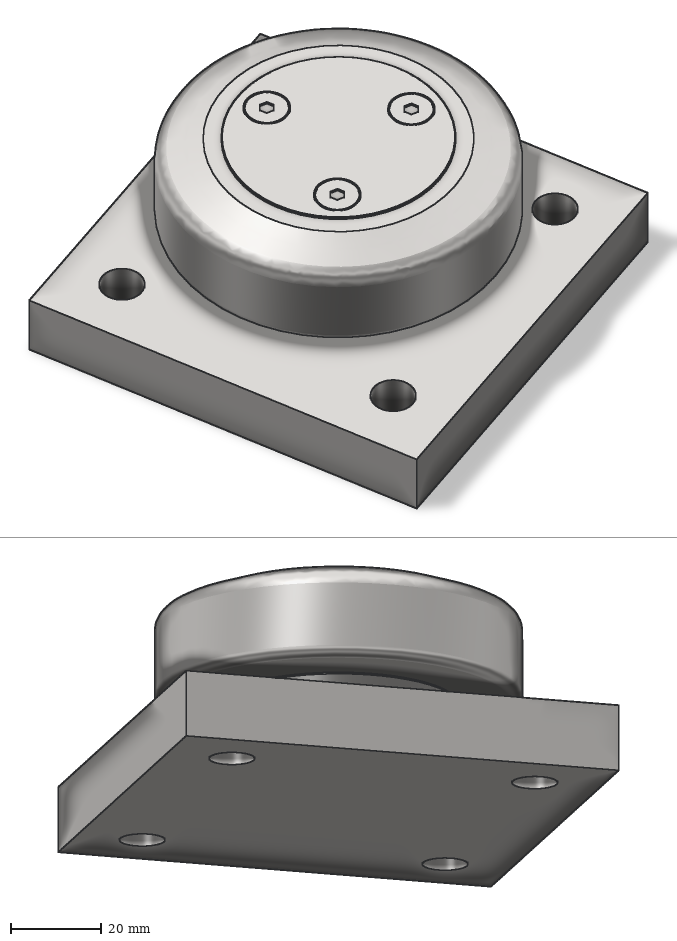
import cadquery as cq
import math

plate_side = 100.0
plate_thickness = 15.0
mount_hole_diameter = 10.1
mount_hole_spacing = 70.0

neck_diameter = 54.0
neck_chamfer = 0.5

cap_radius = 40.8
cap_bottom = 24.6
cap_top = 48.0
cap_flat_radius = 30.0
shoulder_angle = math.radians(20)
shoulder_fillet = 4.0
cap_bottom_fillet = 2.3

total_height = 48.5
disc_diameter = 52.0
disc_chamfer = 0.2

screw_count = 3
screw_circle_radius = 18.5
screw_recess_diameter = 10.4
screw_head_diameter = 9.8
screw_gap_depth = 0.5
socket_across_flats = 3.1
socket_depth = 0.5


def make_plate():
    plate = cq.Workplane("XY").box(
        plate_side, plate_side, plate_thickness, centered=(True, True, False)
    )
    return (
        plate.faces(">Z").workplane()
        .rect(mount_hole_spacing, mount_hole_spacing, forConstruction=True)
        .vertices()
        .hole(mount_hole_diameter)
    )


def make_neck():
    neck = cq.Workplane("XY").workplane(offset=plate_thickness)
    neck = neck.circle(neck_diameter / 2).extrude(cap_bottom - plate_thickness)
    return neck.edges("%CIRCLE").chamfer(neck_chamfer)


def make_cap():
    shoulder_drop = (cap_radius - cap_flat_radius) * math.tan(shoulder_angle)
    shoulder_bottom = cap_top - shoulder_drop
    cap = (
        cq.Workplane("XZ")
        .moveTo(0, cap_bottom)
        .lineTo(cap_radius, cap_bottom)
        .lineTo(cap_radius, shoulder_bottom)
        .lineTo(cap_flat_radius, cap_top)
        .lineTo(0, cap_top)
        .close()
        .revolve(360, (0, 0, 0), (0, 1, 0))
    )
    cap = cap.faces("<Z").edges().fillet(cap_bottom_fillet)
    edge_search_margin = 0.1
    shoulder_edge = cq.selectors.BoxSelector(
        (-2 * cap_radius, -2 * cap_radius, shoulder_bottom - edge_search_margin),
        (2 * cap_radius, 2 * cap_radius, shoulder_bottom + edge_search_margin),
    )
    return cap.edges(shoulder_edge).fillet(shoulder_fillet)


def make_disc():
    disc = cq.Workplane("XY").workplane(offset=cap_top)
    disc = disc.circle(disc_diameter / 2).extrude(total_height - cap_top)
    return disc.faces(">Z").edges().chamfer(disc_chamfer)


def screw_layout():
    """Top-face workplane with the screw centres; the first one lies on -X."""
    return (
        cq.Workplane("XY").workplane(offset=total_height)
        .polarArray(screw_circle_radius, 180, 360, screw_count, rotate=False)
    )


def make_screw_cuts():
    gaps = (
        screw_layout()
        .circle(screw_recess_diameter / 2)
        .circle(screw_head_diameter / 2)
        .extrude(-screw_gap_depth)
    )
    socket_across_corners = socket_across_flats / math.cos(math.pi / 6)
    sockets = screw_layout().polygon(6, socket_across_corners).extrude(-socket_depth)
    return gaps.union(sockets)


body = make_plate().union(make_neck()).union(make_cap()).union(make_disc())
result = body.cut(make_screw_cuts())